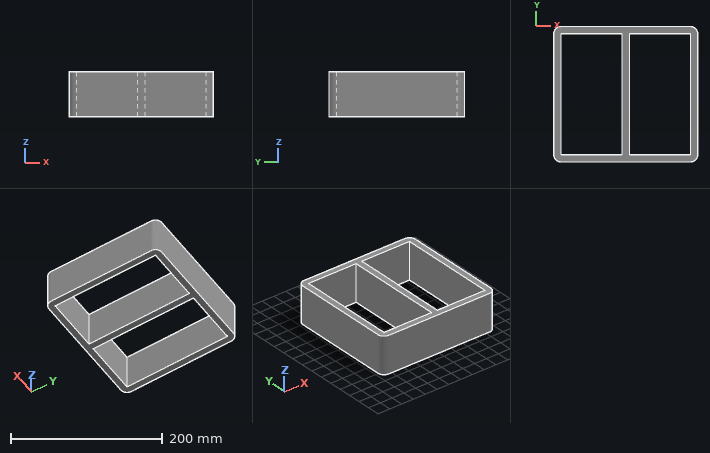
import cadquery as cq

length = 191.0
width = 179.5
height = 60.0
wall = 10.0
corner_radius = 10.0

opening_length = (length - 3 * wall) / 2
opening_width = width - 2 * wall
opening_spacing = opening_length + wall

frame = cq.Workplane("XY").box(length, width, height).edges("|Z").fillet(corner_radius)

result = (
    frame.faces(">Z")
    .workplane()
    .rarray(opening_spacing, 2, 2, 1)
    .rect(opening_length, opening_width)
    .cutThruAll()
)